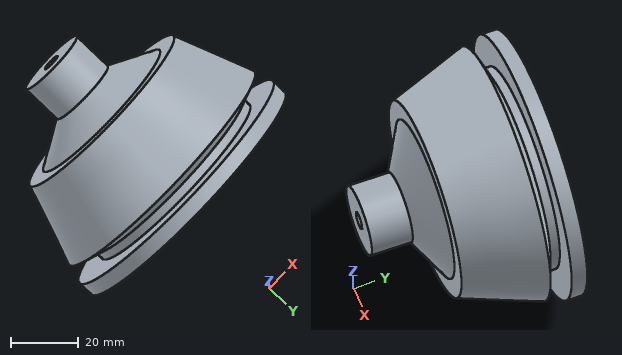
import cadquery as cq

flange_diameter = 83.5
flange_thickness = 5.0
groove_diameter = 63.5
groove_width = 3.0
rim_diameter = 80.0
rim_back_length = 3.0
body_front_diameter = 62.0
body_length = 25.0
shoulder_diameter = 50.0
shoulder_length = 8.0
spigot_diameter = 22.0
spigot_length = 13.0
bore_diameter = 5.3

groove_end = flange_thickness + groove_width
rim_position = groove_end + rim_back_length
body_front = rim_position + body_length
shoulder_end = body_front + shoulder_length
total_length = shoulder_end + spigot_length


def turned_body():
    """Solid of revolution from (diameter, distance) corners of the half section."""
    corners = [
        (0, 0),
        (flange_diameter, 0),
        (flange_diameter, flange_thickness),
        (groove_diameter, flange_thickness),
        (groove_diameter, groove_end),
        (rim_diameter, rim_position),
        (body_front_diameter, body_front),
        (shoulder_diameter, body_front),
        (spigot_diameter, shoulder_end),
        (spigot_diameter, total_length),
        (0, total_length),
    ]
    half_section = [(diameter / 2, -distance) for diameter, distance in corners]
    return cq.Workplane("XY").polyline(half_section).close().revolve(360, (0, 0), (0, 1))


def through_bore():
    """Axial bore running the full length of the part."""
    return cq.Workplane("XZ").circle(bore_diameter / 2).extrude(total_length)


result = turned_body().cut(through_bore())